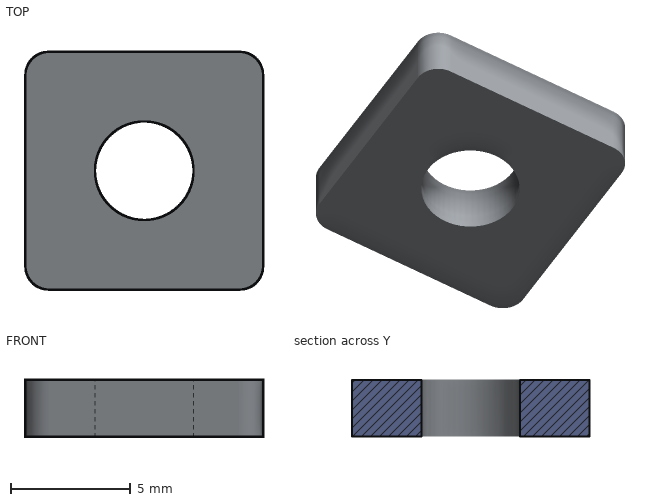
import cadquery as cq

side = 10.0
thickness = 2.4
corner_radius = 1.0
hole_diameter = 4.13

plate = (
    cq.Workplane("XY")
    .rect(side, side)
    .extrude(thickness)
    .edges("|Z")
    .fillet(corner_radius)
)

result = plate.faces(">Z").workplane().hole(hole_diameter)